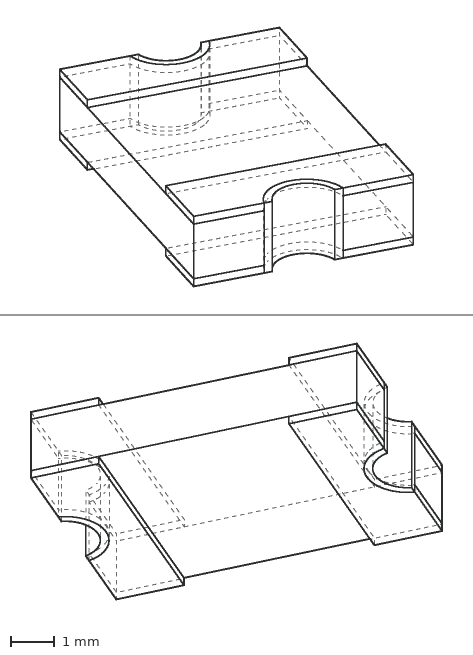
import cadquery as cq

length = 7.98
width = 5.44
height = 1.8

pad_length = 1.66
pad_thickness = 0.2

plating_thickness = 0.2
plating_outer_radius = 1.0
plating_inner_radius = plating_outer_radius - plating_thickness
notch_axis_offset = 0.2

core_height = height - 2 * pad_thickness
notch_axis_x = length / 2 + notch_axis_offset
pad_center_x = (length - pad_length) / 2
pad_center_z = (height - pad_thickness) / 2


def notch_cylinder(end, radius):
    """Full-height cylinder on the notch axis of one end (-1 or +1)."""
    return cq.Workplane("XY").center(end * notch_axis_x, 0).circle(radius).extrude(height / 2, both=True)


def make_core():
    """Flat board with a notch cut through each end."""
    board = cq.Workplane("XY").box(length, width, core_height)
    for end in (-1, 1):
        board = board.cut(notch_cylinder(end, plating_outer_radius))
    return board


def make_pad(end, side):
    """Pad at one end, on the top (side +1) or bottom (side -1) of the core."""
    pad = cq.Workplane("XY").box(pad_length, width, pad_thickness)
    pad = pad.translate((end * pad_center_x, 0, side * pad_center_z))
    return pad.cut(notch_cylinder(end, plating_outer_radius))


def make_plating(end):
    """Curved wall lining one notch, flush with the end face and the pads."""
    ring = notch_cylinder(end, plating_outer_radius).cut(notch_cylinder(end, plating_inner_radius))
    return ring.intersect(cq.Workplane("XY").box(length, width, height))


core = make_core()
pads = [make_pad(end, side) for end in (-1, 1) for side in (-1, 1)]
platings = [make_plating(end) for end in (-1, 1)]

bodies = [core, *pads, *platings]
result = cq.Compound.makeCompound([body.val() for body in bodies])